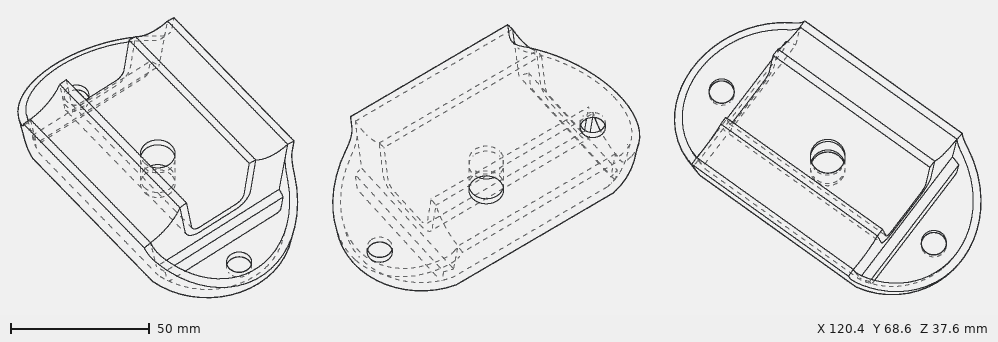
import cadquery as cq
import math

length = 120.4
wall = 3.0
draft = 9.0
side_half_width = 29.5
end_radius = 30.1
bottom_fillet = 4.8
back_height = 34.0
front_height = 26.7

tip_height = 8.0
rim_slope = 31.7
rim_fillet = 9.0

core_half_length = 35.0
foot_half_length = 38.7
foot_height = 10.5
back_saddle_mid = (24.0, 33.8)
front_saddle_mid = (-22.6, 30.6)

top_height = 37.6
liner_floor = 18.0
liner_draft = 8.0
liner_half_opening = 14.3
liner_fillet = 3.7

center_hole_diameter = 12.5
screw_hole_diameter = 9.0
screw_hole_x = 47.5

lean = math.tan(math.radians(draft))
liner_lean = math.tan(math.radians(liner_draft))
wall_across = wall / math.cos(math.radians(draft))
cavity_inset = wall_across - wall * lean
end_half_length = length / 2 - tip_height * lean
end_center_x = end_half_length - end_radius
reach = length


def leaning_profile(plane_name, center_x, foot, base_z, fillet):
    """Half section from the middle axis to a leaning wall with a rounded lower corner."""
    angle = math.radians(draft)
    tangent = fillet * math.tan(math.radians(90 - draft) / 2)
    arc_center = (foot - tangent, base_z + fillet)
    mid_angle = math.radians(45 + draft / 2)
    arc_mid = (
        arc_center[0] + fillet * math.cos(mid_angle),
        arc_center[1] - fillet * math.sin(mid_angle),
    )
    arc_end = (foot + tangent * math.sin(angle), base_z + tangent * math.cos(angle))
    return (
        cq.Workplane(plane_name, origin=(center_x, 0, 0))
        .moveTo(0, base_z)
        .lineTo(arc_center[0], base_z)
        .threePointArc(arc_mid, arc_end)
        .lineTo(foot + (top_height - base_z) * lean, top_height)
        .lineTo(0, top_height)
        .close()
    )


def tapered_block(inset, base_z, fillet):
    """Long block with rounded ends, leaning outward, with a rounded bottom edge."""
    side_profile = leaning_profile(
        "YZ", 0, side_half_width - inset, base_z, fillet
    )
    half_slab = along_x(side_profile, reach)
    slab = half_slab.union(half_slab.mirror("XZ"))
    rounded = cq.Workplane("XY").box(
        2 * end_center_x, reach, top_height, centered=(True, True, False)
    )
    for side in (-1, 1):
        end_profile = leaning_profile(
            "XZ", side * end_center_x, end_radius - inset, base_z, fillet
        )
        rounded = rounded.union(end_profile.revolve(360, (0, 0, 0), (0, 1, 0)))
    return slab.intersect(rounded)


def cavity_block():
    return tapered_block(cavity_inset, wall, bottom_fillet - wall)


def along_x(outline, half_length):
    """Extrude a YZ outline equally to both sides of the middle."""
    return outline.extrude(half_length, both=True)


def wall_top(height, side):
    """Outer and inner top points of a side wall, its top square to the wall."""
    outer_y = side_half_width + height * lean
    inner_y = outer_y - wall * math.cos(math.radians(draft))
    inner_z = height + wall * math.sin(math.radians(draft))
    return (side * outer_y, height), (side * inner_y, inner_z)


def drill(body, x, diameter):
    hole = cq.Workplane("XY").center(x, 0).circle(diameter / 2).extrude(top_height)
    return body.cut(hole)


def rim_envelope():
    """Space under the sloping end rims, extended across the whole width."""
    slope = math.tan(math.radians(rim_slope))
    tip_x = length / 2
    bend_z = tip_height + (tip_x - core_half_length) * slope
    outside_x = tip_x + wall
    outside_z = tip_height - wall * slope
    bend_area = cq.selectors.BoxSelector(
        (-tip_x, -2 * reach, bend_z - wall),
        (tip_x, 2 * reach, bend_z + wall),
    )
    return (
        cq.Workplane("XZ")
        .polyline([
            (-outside_x, 0),
            (outside_x, 0),
            (outside_x, outside_z),
            (core_half_length, bend_z),
            (core_half_length, top_height),
            (-core_half_length, top_height),
            (-core_half_length, bend_z),
            (-outside_x, outside_z),
        ])
        .close()
        .extrude(reach, both=True)
        .edges(bend_area)
        .fillet(rim_fillet)
    )


def side_wall_envelope():
    """Space under the two side-wall tops, along the whole length."""
    back_outer, back_inner = wall_top(back_height, 1)
    front_outer, front_inner = wall_top(front_height, -1)
    outline = (
        cq.Workplane("YZ")
        .polyline([
            (front_outer[0], 0),
            front_outer,
            front_inner,
            back_inner,
            back_outer,
            (back_outer[0], 0),
        ])
        .close()
    )
    return along_x(outline, reach)


def make_tray():
    envelope = rim_envelope().intersect(side_wall_envelope())
    tray = tapered_block(0, 0, bottom_fillet).intersect(envelope).cut(cavity_block())
    tray = drill(tray, 0, center_hole_diameter)
    for side in (-1, 1):
        tray = drill(tray, side * screw_hole_x, screw_hole_diameter)
    return tray


def liner_outer_top():
    """Outer top corner of the liner, its top square to the leaning wall."""
    angle = math.radians(liner_draft)
    return liner_half_opening + wall * math.cos(angle), top_height - wall * math.sin(angle)


def channel_block(floor_z, top_y, top_z, fillet):
    """Solid shape of a channel with leaning sides and rounded bottom edges."""
    floor_y = top_y - (top_z - floor_z) * liner_lean
    outline = (
        cq.Workplane("YZ")
        .polyline([(-floor_y, floor_z), (floor_y, floor_z), (top_y, top_z), (-top_y, top_z)])
        .close()
    )
    return along_x(outline, core_half_length).faces("<Z").edges("|X").fillet(fillet)


def liner_outer_block():
    """Outside of the liner, with tops sloping down from the opening."""
    outer_y, outer_z = liner_outer_top()
    block = channel_block(liner_floor - wall, outer_y, outer_z, liner_fillet + wall)
    cap = (
        cq.Workplane("YZ")
        .polyline([
            (-outer_y, outer_z),
            (outer_y, outer_z),
            (liner_half_opening, top_height),
            (-liner_half_opening, top_height),
        ])
        .close()
    )
    return block.union(along_x(cap, core_half_length))


def make_liner():
    opening = channel_block(liner_floor, liner_half_opening, top_height, liner_fillet)
    return drill(liner_outer_block().cut(opening), 0, center_hole_diameter)


def make_core():
    outer_y, outer_z = liner_outer_top()
    back_inner = wall_top(back_height, 1)[1]
    front_inner = wall_top(front_height, -1)[1]
    saddles = (
        cq.Workplane("YZ")
        .moveTo(front_inner[0], 0)
        .lineTo(*front_inner)
        .threePointArc(front_saddle_mid, (-outer_y, outer_z))
        .lineTo(outer_y, outer_z)
        .threePointArc(back_saddle_mid, back_inner)
        .lineTo(back_inner[0], 0)
        .close()
    )
    foot = cq.Workplane("XY").box(
        2 * foot_half_length, reach, foot_height, centered=(True, True, False)
    )
    core = along_x(saddles, core_half_length).union(foot).intersect(cavity_block())
    core = core.cut(liner_outer_block())
    return drill(core, 0, center_hole_diameter)


tray = make_tray()
core = make_core()
liner = make_liner()
result = cq.Compound.makeCompound([tray.solids().val(), core.solids().val(), liner.solids().val()])